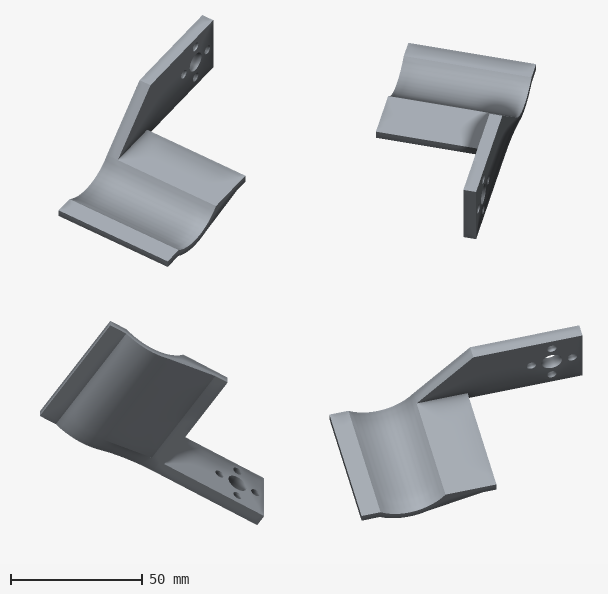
import cadquery as cq
import math

length = 98.0
width = 50.0
height = 31.0

plate_thickness = 5.0
plate_height = 25.0
plate_bottom = height - plate_height
slope_start_y = 55.2
underside_bend_y = 51.0

trough_y = 18.7
trough_inner_radius = 18.5
trough_thickness = 2.5
trough_outer_radius = trough_inner_radius + trough_thickness
trough_foot_y = 32.9
underside_end_y = 25.9

lip_top = 6.4
lip_thickness = 2.9
lip_bottom = lip_top - lip_thickness

shelf_back_y = 52.9
shelf_bend_y = 47.3

hole_y = 85.9
hole_z = plate_bottom + plate_height / 2
center_hole_diameter = 8.0
small_hole_diameter = 3.7
hole_offset = 8.0


def arc_z(radius, y):
    """Height of the lower half of a trough arc at a given Y."""
    return trough_outer_radius - math.sqrt(radius**2 - (y - trough_y) ** 2)


def arc_front_y(radius, z):
    """Y where a trough arc reaches a given height on its lip side."""
    return trough_y - math.sqrt(radius**2 - (trough_outer_radius - z) ** 2)


trough_foot = (trough_foot_y, arc_z(trough_inner_radius, trough_foot_y))
underside_end = (underside_end_y, arc_z(trough_outer_radius, underside_end_y))


def trough_outline():
    """Lip and trough in the YZ plane, ending at the top of the trough's rear side."""
    return (
        cq.Workplane("YZ")
        .moveTo(*underside_end)
        .threePointArc((trough_y, 0), (arc_front_y(trough_outer_radius, lip_bottom), lip_bottom))
        .lineTo(0, lip_bottom)
        .lineTo(0, lip_top)
        .lineTo(arc_front_y(trough_inner_radius, lip_top), lip_top)
        .threePointArc((trough_y, trough_thickness), trough_foot)
    )


def make_plate():
    run = underside_bend_y - underside_end_y
    drop = plate_bottom - underside_end[1]
    bend_radius = (run**2 + drop**2) / (2 * drop)
    middle_drop = bend_radius - math.sqrt(bend_radius**2 - (run / 2) ** 2)
    bend_middle = (underside_bend_y - run / 2, plate_bottom - middle_drop)
    return (
        trough_outline()
        .lineTo(slope_start_y, height)
        .lineTo(length, height)
        .lineTo(length, plate_bottom)
        .lineTo(underside_bend_y, plate_bottom)
        .threePointArc(bend_middle, underside_end)
        .close()
        .extrude(plate_thickness)
    )


def make_shelf_and_trough():
    return (
        trough_outline()
        .lineTo(shelf_back_y, trough_foot[1])
        .lineTo(shelf_back_y, plate_bottom)
        .lineTo(shelf_bend_y, plate_bottom)
        .close()
        .extrude(width - plate_thickness)
        .translate((plate_thickness, 0, 0))
    )


def make_holes():
    pattern = cq.Workplane("YZ").center(hole_y, hole_z)
    center_hole = pattern.circle(center_hole_diameter / 2).extrude(plate_thickness)
    small_holes = (
        pattern.polarArray(hole_offset, 0, 360, 4)
        .circle(small_hole_diameter / 2)
        .extrude(plate_thickness)
    )
    return center_hole.union(small_holes)


result = make_plate().union(make_shelf_and_trough()).cut(make_holes())